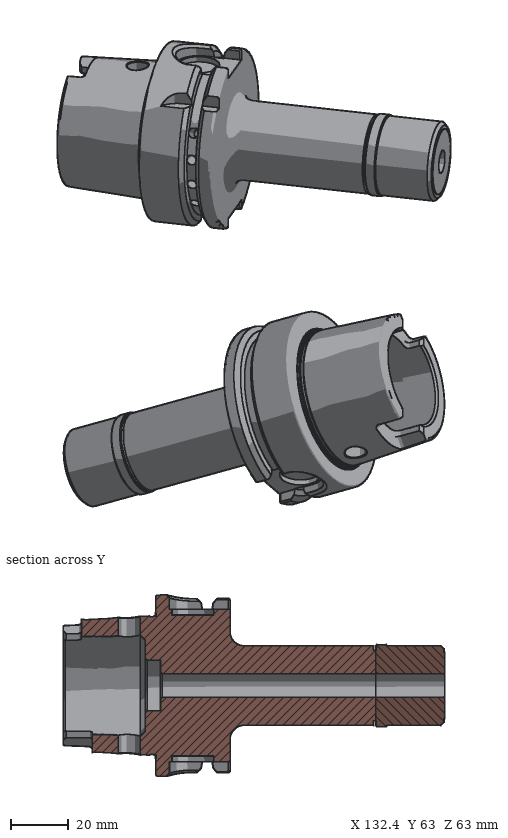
import cadquery as cq
import math


tolerance = 0.01

taper_length = 32.0
taper_end_radius = 22.7
taper_root_radius = 24.2
taper_end_fillet = 0.9
relief_length = 2.1
relief_depth = 0.3
relief_chamfer = 0.4
face_relief_depth = 0.3
face_relief_radius = 25.3

bore_radius = 17.0
bore_entry_chamfer = 0.8
bore_straight_depth = 12.2
undercut_radius = 17.5
undercut_end_x = -5.3
bore_floor_radius = 15.8
counterbore_radius = 8.7
counterbore_depth = 5.3
counterbore_chamfer = 0.7
coolant_radius = 4.0
coolant_chamfer = 0.7

flange_radius = 31.5
flange_length = 26.0
flange_face_fillet = 0.8
flange_back_fillet = 1.0
groove_floor_radius = 27.5
groove_lip_radius = 29.7
groove_start = 14.3
groove_floor_start = 16.3
groove_floor_end = 19.6
groove_end = 21.6
groove_wall_slope = 0.4

shank_radius = 13.9
shank_root_fillet = 4.8
shank_end = 75.6
neck_radius = 12.3

nut_start = 76.4
overall_length = 132.4
nut_end = overall_length - taper_length
nut_radius = 13.9
nut_collar_radius = 14.3
nut_collar_length = 4.0
nut_collar_chamfer = 0.4
nut_end_chamfer = 1.2
nut_rim_radius = 11.5
nut_rim_height = 0.3

drive_half_width = 6.2
drive_depth_top = 6.4
drive_depth_bottom = 10.0
drive_corner_radius = 1.6
drive_flare_height = 18.0
drive_entry_chamfer = 1.0

access_x = -9.1
access_radius = 3.7
access_chamfer = 0.3

keyway_width = 16.0
keyway_floor_height = 26.5
keyway_centre_x = 12.91
keyway_round_chamfer = 1.2
keyway_side_chamfer = 0.7
recess_radius = 7.1
recess_depth = 2.0

notch_floor_height = 20.1
notch_wall_offset = 20.3
notch_end_radius = 8.0

groove_hole_radius = 1.7
groove_hole_depth = 8.0
groove_hole_first_angle = -35
groove_hole_step = 20
groove_hole_count = 4


def turned(points):
    """Solid turned about the X axis from (x, radius) points."""
    return cq.Workplane("XY").polyline(points).close().revolve(360, (0, 0, 0), (1, 0, 0))


def make_taper():
    """Taper cone with a shallow relief groove at its root."""
    relief_radius = taper_root_radius - relief_depth
    taper = turned([
        (-taper_length, 0),
        (-taper_length, taper_end_radius),
        (-relief_length, taper_root_radius),
        (-relief_length + relief_chamfer, relief_radius),
        (-2 * relief_chamfer, relief_radius),
        (-relief_chamfer, taper_root_radius),
        (face_relief_depth, taper_root_radius),
        (face_relief_depth, 0),
    ])
    return taper.faces("<X").edges().fillet(taper_end_fillet)


def make_flange():
    """Flange disc with the gripper groove and a shallow ring recess around the taper root."""
    flange = turned([
        (0, 0),
        (0, flange_radius),
        (groove_start, flange_radius),
        (groove_floor_start - groove_wall_slope, groove_lip_radius),
        (groove_floor_start, groove_floor_radius),
        (groove_floor_end, groove_floor_radius),
        (groove_floor_end + groove_wall_slope, groove_lip_radius),
        (groove_end, flange_radius),
        (flange_length, flange_radius),
        (flange_length, 0),
    ])
    flange = flange.faces("<X").edges().fillet(flange_face_fillet)
    flange = flange.faces(">X").edges().fillet(flange_back_fillet)
    face_relief = turned([
        (0, taper_root_radius),
        (0, face_relief_radius),
        (face_relief_depth, face_relief_radius - 2 * face_relief_depth),
        (face_relief_depth, taper_root_radius),
    ])
    return flange.cut(face_relief)


def make_shank():
    """Shank with a filleted root and the thinner neck that meets the nut."""
    arc_offset = shank_root_fillet * (1 - math.sqrt(0.5))
    root_radius = shank_radius + shank_root_fillet
    return (
        cq.Workplane("XY")
        .moveTo(flange_length, 0)
        .lineTo(flange_length, root_radius)
        .threePointArc(
            (flange_length + arc_offset, shank_radius + arc_offset),
            (flange_length + shank_root_fillet, shank_radius),
        )
        .lineTo(shank_end, shank_radius)
        .lineTo(shank_end, neck_radius)
        .lineTo(nut_start, neck_radius)
        .lineTo(nut_start, 0)
        .close()
        .revolve(360, (0, 0, 0), (1, 0, 0))
    )


def make_bore():
    """Stepped cutter for the hollow taper and the coolant hole through the shank."""
    bore_floor_x = undercut_end_x + undercut_radius - bore_floor_radius
    counterbore_x = bore_floor_x + counterbore_depth
    return turned([
        (-taper_length, 0),
        (-taper_length, bore_radius + bore_entry_chamfer),
        (-taper_length + bore_entry_chamfer, bore_radius),
        (-taper_length + bore_straight_depth, bore_radius),
        (undercut_end_x, undercut_radius),
        (bore_floor_x, bore_floor_radius),
        (bore_floor_x, counterbore_radius + counterbore_chamfer),
        (bore_floor_x + counterbore_chamfer, counterbore_radius),
        (counterbore_x, counterbore_radius),
        (counterbore_x, coolant_radius + coolant_chamfer),
        (counterbore_x + coolant_chamfer, coolant_radius),
        (nut_start, coolant_radius),
        (nut_start, 0),
    ])


def make_drive_slot(depth):
    """Slot cutter on the +Z side, with walls that flare outward at 45 degrees near the rim."""
    top = flange_radius
    flare_half_width = drive_half_width + top - drive_flare_height
    slot = (
        cq.Workplane("XY")
        .box(depth, 2 * drive_half_width, top, centered=(False, True, False))
        .edges(">X and |Z")
        .fillet(drive_corner_radius)
    )
    flare = (
        cq.Workplane("YZ")
        .polyline([
            (-drive_half_width, drive_flare_height),
            (drive_half_width, drive_flare_height),
            (flare_half_width, top),
            (-flare_half_width, top),
        ])
        .close()
        .extrude(depth)
        .edges(">X and (not |Y)")
        .fillet(drive_corner_radius)
    )
    entry_half_width = drive_half_width + drive_entry_chamfer
    entry = (
        cq.Workplane("XY")
        .polyline([
            (0, -entry_half_width),
            (0, entry_half_width),
            (drive_entry_chamfer, drive_half_width),
            (drive_entry_chamfer, -drive_half_width),
        ])
        .close()
        .extrude(top)
    )
    return slot.union(flare).union(entry).translate((-taper_length, 0, 0))


def cut_access_hole(holder):
    """Holder with a hole across the whole taper along Z, chamfered at both mouths."""
    centre = cq.Workplane("XY", origin=(access_x, 0, 0))
    holder = holder.cut(centre.circle(access_radius).extrude(taper_root_radius, both=True))
    for side in (-1, 1):
        mouth = cq.selectors.BoxSelector(
            (access_x - access_radius, -access_radius, side * taper_end_radius),
            (access_x + access_radius, access_radius, side * taper_root_radius),
        )
        holder = holder.edges(mouth).chamfer(access_chamfer)
    return holder


def make_keyway():
    """Round-ended keyway cutter on the +Z side, open toward +X, with a round recess in its floor."""
    height = flange_radius - keyway_floor_height
    run = flange_length - keyway_centre_x
    floor = cq.Workplane("XY", origin=(keyway_centre_x, 0, keyway_floor_height))
    round_end = floor.circle(keyway_width / 2).extrude(height)
    straight = floor.center(run / 2, 0).rect(run, keyway_width).extrude(height)
    keyway = round_end.union(straight)
    recess = floor.circle(recess_radius).extrude(-recess_depth)
    return keyway.union(recess)


def cut_keyways(flange):
    """Flange with a keyway on +Z and another on -Z, their rims chamfered at the flange surface."""
    for turn in (0, 180):
        flange = flange.cut(make_keyway().rotate((0, 0, 0), (1, 0, 0), turn))
    round_rims = rim_edges(flange, keyway_centre_x - keyway_width, groove_start)
    flange = flange.newObject(round_rims).chamfer(keyway_round_chamfer)
    side_rims = rim_edges(flange, groove_end, flange_length - flange_back_fillet)
    return flange.newObject(side_rims).chamfer(keyway_side_chamfer)


def rim_edges(flange, x_start, x_end):
    """Keyway edges that lie on the outer surface of the flange between two X positions."""
    rims = []
    for edge in flange.edges().vals():
        points = edge.positions([0.0, 0.5, 1.0])
        places = [point.x for point in points]
        on_surface = all(abs(math.hypot(p.y, p.z) - flange_radius) < tolerance for p in points)
        in_span = x_start - tolerance < min(places) and max(places) < x_end + tolerance
        runs_along_x = max(places) - min(places) > tolerance
        near_keyway = all(abs(p.y) < keyway_width for p in points)
        if on_surface and in_span and runs_along_x and near_keyway:
            rims.append(edge)
    return rims


def make_notch():
    """Round-ended corner cutter, as swept by an upright end mill moving along X."""
    height = flange_radius - notch_floor_height
    run = flange_length - keyway_centre_x
    mill_y = -notch_wall_offset - notch_end_radius
    floor = cq.Workplane("XY", origin=(keyway_centre_x, mill_y, notch_floor_height))
    round_end = floor.circle(notch_end_radius).extrude(height)
    straight = floor.center(run / 2, 0).rect(run, 2 * notch_end_radius).extrude(height)
    return round_end.union(straight)


def make_groove_hole(angle):
    """Radial hole at an angle above the -Y direction."""
    middle_x = (groove_floor_start + groove_floor_end) / 2
    hole = cq.Workplane("XZ").circle(groove_hole_radius).extrude(groove_hole_depth)
    hole = hole.translate((middle_x, -(groove_floor_radius - groove_hole_depth), 0))
    return hole.rotate((0, 0, 0), (1, 0, 0), -angle)


def make_holder():
    """Holder body: taper, flange and shank with all their cuts."""
    flange = cut_keyways(make_flange())
    holder = flange.union(make_taper()).union(make_shank())
    holder = cut_access_hole(holder.cut(make_bore()))
    holder = holder.cut(make_drive_slot(drive_depth_top))
    holder = holder.cut(make_drive_slot(drive_depth_bottom).rotate((0, 0, 0), (1, 0, 0), 180))
    holder = holder.cut(make_notch())
    for index in range(groove_hole_count):
        holder = holder.cut(make_groove_hole(groove_hole_first_angle + index * groove_hole_step))
    return holder


def make_nut():
    """Nut with a collar at its back, butted against the neck, and a low rim on its end face."""
    collar_end = nut_start + nut_collar_length
    shoulder = nut_end - nut_rim_height
    return turned([
        (nut_start, coolant_radius),
        (nut_start, nut_collar_radius - nut_collar_chamfer),
        (nut_start + nut_collar_chamfer, nut_collar_radius),
        (collar_end - nut_collar_chamfer, nut_collar_radius),
        (collar_end, nut_radius),
        (shoulder - nut_end_chamfer, nut_radius),
        (shoulder, nut_radius - nut_end_chamfer),
        (shoulder, nut_rim_radius),
        (nut_end, nut_rim_radius),
        (nut_end, coolant_radius),
    ])


holder = make_holder()
nut = make_nut()
result = cq.Compound.makeCompound([holder.val(), nut.val()])